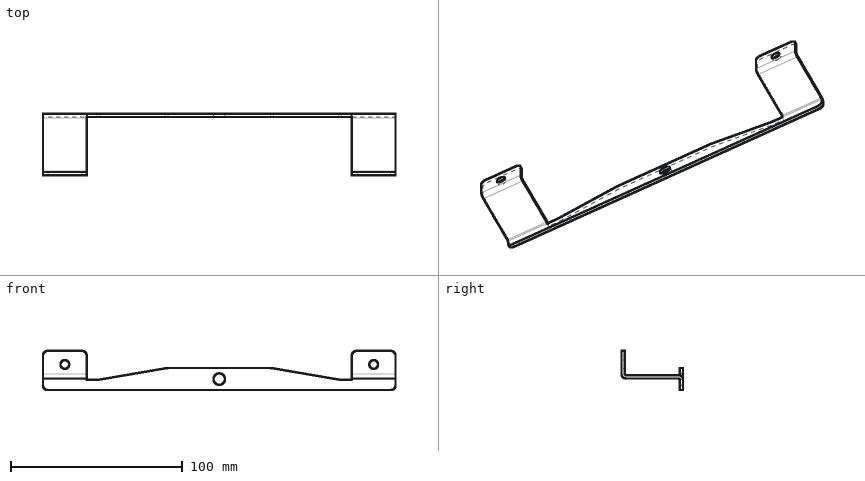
import cadquery as cq

length = 205.6
depth = 36.0
height = 23.0

thickness = 2.0
inner_bend_radius = 0.6
outer_bend_radius = inner_bend_radius + thickness
corner_radius = 3.0

strap_end_height = 6.2
strap_middle_height = 13.0
ramp_start = 32.5
ramp_end = 72.2
ramp_blend_radius = 10.0
strap_hole_diameter = 6.5

tab_width = 25.7
flange_hole_diameter = 5.0
flange_hole_drop = 8.0

half_length = length / 2
shelf_top = strap_end_height + outer_bend_radius
shelf_bottom = shelf_top - thickness
tab_centre = half_length - tab_width / 2


def make_strap():
    ramp_foot = half_length - ramp_start
    ramp_head = half_length - ramp_end
    outline = [
        (-half_length, 0),
        (half_length, 0),
        (half_length, strap_end_height),
        (ramp_foot, strap_end_height),
        (ramp_head, strap_middle_height),
        (-ramp_head, strap_middle_height),
        (-ramp_foot, strap_end_height),
        (-half_length, strap_end_height),
    ]
    strap = cq.Workplane("XZ").polyline(outline).close().extrude(thickness)
    for x in (-ramp_foot, -ramp_head, ramp_head, ramp_foot):
        z = strap_end_height if abs(x) == ramp_foot else strap_middle_height
        corner = cq.selectors.NearestToPointSelector((x, -thickness / 2, z))
        strap = strap.edges("|Y").edges(corner).fillet(ramp_blend_radius)
    strap = strap.faces("<X or >X").edges("|Y and <Z").fillet(corner_radius)
    hole = (
        cq.Workplane("XZ")
        .center(0, strap_middle_height / 2)
        .circle(strap_hole_diameter / 2)
        .extrude(thickness)
    )
    return strap.cut(hole)


def make_tab(centre_x):
    rear_bend_y = -outer_bend_radius
    front_bend_y = -depth + outer_bend_radius
    flange_bottom = shelf_bottom + outer_bend_radius
    tab = (
        cq.Workplane("YZ", origin=(centre_x - tab_width / 2, 0, 0))
        .moveTo(0, strap_end_height)
        .radiusArc((rear_bend_y, shelf_top), -outer_bend_radius)
        .lineTo(front_bend_y, shelf_top)
        .radiusArc((-depth + thickness, flange_bottom), inner_bend_radius)
        .lineTo(-depth + thickness, height)
        .lineTo(-depth, height)
        .lineTo(-depth, flange_bottom)
        .radiusArc((front_bend_y, shelf_bottom), -outer_bend_radius)
        .lineTo(rear_bend_y, shelf_bottom)
        .radiusArc((-thickness, strap_end_height), inner_bend_radius)
        .close()
        .extrude(tab_width)
    )
    tab = tab.edges("|Y and >Z").fillet(corner_radius)
    hole = (
        cq.Workplane("XZ", origin=(0, -depth + thickness, 0))
        .center(centre_x, height - flange_hole_drop)
        .circle(flange_hole_diameter / 2)
        .extrude(thickness)
    )
    return tab.cut(hole)


result = make_strap()
for tab_x in (-tab_centre, tab_centre):
    result = result.union(make_tab(tab_x))